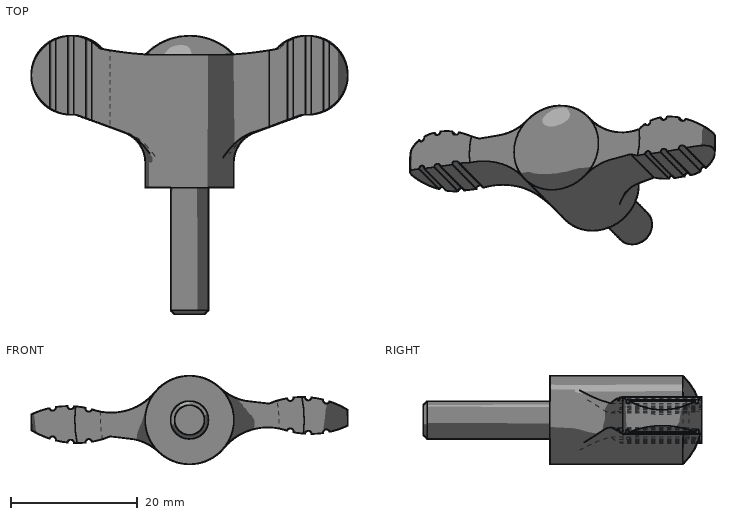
import cadquery as cq
import math

HUB_RADIUS = 7.0
HUB_LENGTH = 21.0
DOME_HEIGHT = 3.0
TOTAL_HEIGHT = HUB_LENGTH + DOME_HEIGHT

STUD_RADIUS = 3.0
STUD_LENGTH = 20.0
STUD_CHAMFER = 0.65

SPAN = 50.0
TIP_X = -SPAN / 2
LOBE_RADIUS = 6.25
LOBE_X = TIP_X + LOBE_RADIUS
LOBE_Y = TOTAL_HEIGHT - LOBE_RADIUS
NECK_X = -14.1
UPPER_EDGE_RADIUS = 60.0
LOWER_EDGE_START_X = -18.1
LOWER_EDGE_ANGLE = math.radians(20.0)
ROOT_FILLET = 5.0

UPPER_BLEND_RADIUS = 9.0
UPPER_BLEND_ANGLE = math.radians(39.5)
UPPER_BLEND_END_X = -14.84
LOWER_BLEND_RADIUS = 8.0
LOWER_BLEND_ANGLE = math.radians(46.7)
LOWER_BLEND_END_X = -9.7
UPPER_CREST = (-19.0, 2.22)
LOWER_CREST = (-17.8, -3.65)
TIP_TOP_Z = 0.87
TIP_BOTTOM_Z = -1.58
WAIST = (-12.55, -2.61)

GROOVE_RADIUS = 0.5
GROOVE_PITCH = 2.85
GROOVE_XS = [LOBE_X + step * GROOVE_PITCH for step in (-1, 0, 1)]


def make_hub():
    """Domed hub with the chamfered stud, turned about Y."""
    dome_radius = (HUB_RADIUS**2 + DOME_HEIGHT**2) / (2 * DOME_HEIGHT)
    dome_mid_x = HUB_RADIUS / 2
    dome_mid_y = TOTAL_HEIGHT - dome_radius + math.sqrt(dome_radius**2 - dome_mid_x**2)
    return (
        cq.Workplane("XY")
        .moveTo(0, -STUD_LENGTH)
        .lineTo(STUD_RADIUS - STUD_CHAMFER, -STUD_LENGTH)
        .lineTo(STUD_RADIUS, -STUD_LENGTH + STUD_CHAMFER)
        .lineTo(STUD_RADIUS, 0)
        .lineTo(HUB_RADIUS, 0)
        .lineTo(HUB_RADIUS, HUB_LENGTH)
        .threePointArc((dome_mid_x, dome_mid_y), (0, TOTAL_HEIGHT))
        .close()
        .revolve(360, (0, 0), (0, 1))
    )


def lobe_y(x, side):
    """Y of the lobe circle at x, on its upper (+1) or lower (-1) side."""
    return LOBE_Y + side * math.sqrt(LOBE_RADIUS**2 - (x - LOBE_X) ** 2)


def make_wing_blank():
    """Wing outline turned about Y, with the root fillet running onto the hub."""
    slope = math.tan(LOWER_EDGE_ANGLE)
    lower_start_y = lobe_y(LOWER_EDGE_START_X, -1)
    fillet_center_x = -HUB_RADIUS - ROOT_FILLET
    fillet_contact_x = fillet_center_x + ROOT_FILLET * math.sin(LOWER_EDGE_ANGLE)
    fillet_contact_y = lower_start_y - (fillet_contact_x - LOWER_EDGE_START_X) * slope
    fillet_center_y = fillet_contact_y - ROOT_FILLET * math.cos(LOWER_EDGE_ANGLE)
    return (
        cq.Workplane("XY")
        .moveTo(0, HUB_LENGTH)
        .lineTo(-HUB_RADIUS, HUB_LENGTH)
        .radiusArc((NECK_X, lobe_y(NECK_X, 1)), UPPER_EDGE_RADIUS)
        .threePointArc((TIP_X, LOBE_Y), (LOWER_EDGE_START_X, lower_start_y))
        .lineTo(fillet_contact_x, fillet_contact_y)
        .radiusArc((-HUB_RADIUS, fillet_center_y), ROOT_FILLET)
        .lineTo(0, fillet_center_y)
        .close()
        .revolve(360, (0, 0), (0, 1))
    )


def hub_blend(radius, angle, side, end_x):
    """Start, middle and end of a concave arc that leaves the hub tangentially."""
    reach = HUB_RADIUS + radius
    start = (-HUB_RADIUS * math.cos(angle), side * HUB_RADIUS * math.sin(angle))
    center = (-reach * math.cos(angle), side * reach * math.sin(angle))

    def on_arc(x):
        return (x, center[1] - side * math.sqrt(radius**2 - (x - center[0]) ** 2))

    return start, on_arc((start[0] + end_x) / 2), on_arc(end_x)


def crest_arc_z(x, first, crest, last):
    """Z at x on the circle through three points, on the side of the crest."""
    (x1, z1), (x2, z2), (x3, z3) = first, crest, last
    cross = 2 * (x1 * (z2 - z3) + x2 * (z3 - z1) + x3 * (z1 - z2))
    s1 = x1**2 + z1**2
    s2 = x2**2 + z2**2
    s3 = x3**2 + z3**2
    center_x = (s1 * (z2 - z3) + s2 * (z3 - z1) + s3 * (z1 - z2)) / cross
    center_z = (s1 * (x3 - x2) + s2 * (x1 - x3) + s3 * (x2 - x1)) / cross
    radius = math.hypot(x1 - center_x, z1 - center_z)
    side = math.copysign(1, crest[1] - center_z)
    return center_z + side * math.sqrt(radius**2 - (x - center_x) ** 2)


def make_wing_profile():
    """Thickness profile of the wing with its grip grooves, swept along Y."""
    upper = hub_blend(UPPER_BLEND_RADIUS, UPPER_BLEND_ANGLE, 1, UPPER_BLEND_END_X)
    lower = hub_blend(LOWER_BLEND_RADIUS, LOWER_BLEND_ANGLE, -1, LOWER_BLEND_END_X)
    tip_top = (TIP_X, TIP_TOP_Z)
    tip_bottom = (TIP_X, TIP_BOTTOM_Z)
    profile = (
        cq.Workplane("XZ")
        .moveTo(0, 0)
        .lineTo(*upper[0])
        .threePointArc(upper[1], upper[2])
        .threePointArc(UPPER_CREST, tip_top)
        .lineTo(*tip_bottom)
        .threePointArc(LOWER_CREST, WAIST)
        .lineTo(*lower[2])
        .threePointArc(lower[1], lower[0])
        .close()
        .extrude(-TOTAL_HEIGHT)
    )
    groove_centers = []
    for x in GROOVE_XS:
        groove_centers.append((x, crest_arc_z(x, upper[2], UPPER_CREST, tip_top)))
        groove_centers.append((x, crest_arc_z(x, tip_bottom, LOWER_CREST, WAIST)))
    grooves = (
        cq.Workplane("XZ")
        .pushPoints(groove_centers)
        .circle(GROOVE_RADIUS)
        .extrude(-TOTAL_HEIGHT)
    )
    return profile.cut(grooves)


left_wing = make_wing_blank().intersect(make_wing_profile())
right_wing = left_wing.rotate((0, 0, 0), (0, 1, 0), 180)
result = make_hub().union(left_wing).union(right_wing)